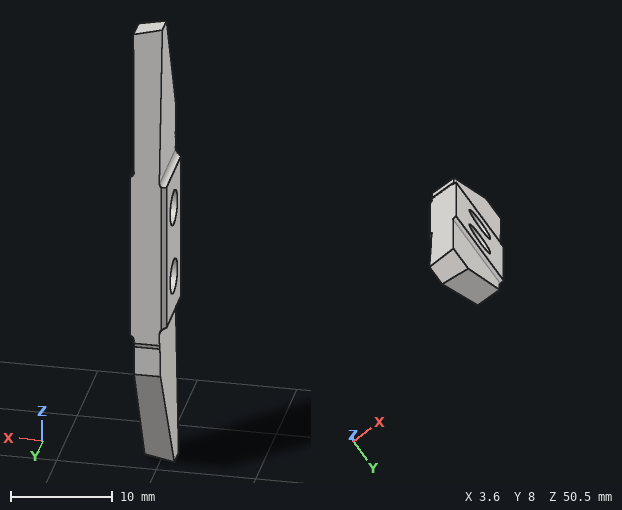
import cadquery as cq
import math

length = 50.5
width = 8.0
thickness = 3.6

pad_x = -thickness / 2
back_x = thickness / 2
pad_half_length = 7.75
back_half_length = 8.75
pad_edge_chamfer = 0.45

front_root_x = -1.15
front_root_z = 8.35
front_tip_x = -1.45
rear_root_x = 1.4
rear_root_z = 9.35
rear_tip_x = 1.45
tip_bevel_angle = 15.0

flank_relief = 0.15
relief_start_z = 9.55
relief_end_z = 10.0
flank_corner_z = 13.05
tip_width = 2.1

hole_diameter = 3.55
hole_spacing = 7.5


def concave_midpoint(block_point, blade_point):
    """Middle of a quarter-ellipse fillet that runs into the blade along Z."""
    across = block_point[0] - blade_point[0]
    along = blade_point[1] - block_point[1]
    bulge = 1 - math.cos(math.pi / 4)
    return (blade_point[0] + across * bulge, block_point[1] + along * bulge)


def thickness_profile():
    """XZ outline of the upper half, mirrored to give both blades."""
    half_length = length / 2
    pad_end = (pad_x, pad_half_length)
    front_root = (front_root_x, front_root_z)
    back_end = (back_x, back_half_length)
    rear_root = (rear_root_x, rear_root_z)
    bevel_drop = (rear_tip_x - front_tip_x) * math.tan(math.radians(tip_bevel_angle))
    upper_half = (
        cq.Workplane("XZ")
        .moveTo(pad_x, 0)
        .lineTo(*pad_end)
        .threePointArc(concave_midpoint(pad_end, front_root), front_root)
        .lineTo(front_tip_x, half_length)
        .lineTo(rear_tip_x, half_length - bevel_drop)
        .lineTo(*rear_root)
        .threePointArc(concave_midpoint(back_end, rear_root), back_end)
        .lineTo(back_x, 0)
        .close()
        .extrude(width / 2, both=True)
    )
    return upper_half.union(upper_half.mirror("XY"))


def side_outline():
    """YZ outline with half-turn symmetry, leaving a slanted flank on each blade."""
    edge_y = width / 2
    half_length = length / 2
    relieved_y = edge_y - flank_relief
    half = [
        (-edge_y, relief_start_z),
        (-relieved_y, relief_end_z),
        (-relieved_y, flank_corner_z),
        (edge_y - tip_width, half_length),
        (edge_y, half_length),
    ]
    other_half = [(-y, -z) for y, z in half]
    return cq.Workplane("YZ").polyline(half + other_half).close().extrude(thickness / 2, both=True)


def pad_edge_cutter(side):
    """Triangular prism that chamfers one long edge of the pad."""
    edge_y = side * width / 2
    return (
        cq.Workplane("XY")
        .polyline([
            (pad_x, edge_y),
            (pad_x + pad_edge_chamfer, edge_y),
            (pad_x, edge_y - side * pad_edge_chamfer),
        ])
        .close()
        .extrude(front_root_z, both=True)
    )


def mounting_holes():
    """Two through holes along X, spaced along Z."""
    return (
        cq.Workplane("YZ")
        .pushPoints([(0, -hole_spacing / 2), (0, hole_spacing / 2)])
        .circle(hole_diameter / 2)
        .extrude(thickness, both=True)
    )


result = thickness_profile().intersect(side_outline())
for side in (-1, 1):
    result = result.cut(pad_edge_cutter(side))
result = result.cut(mounting_holes())